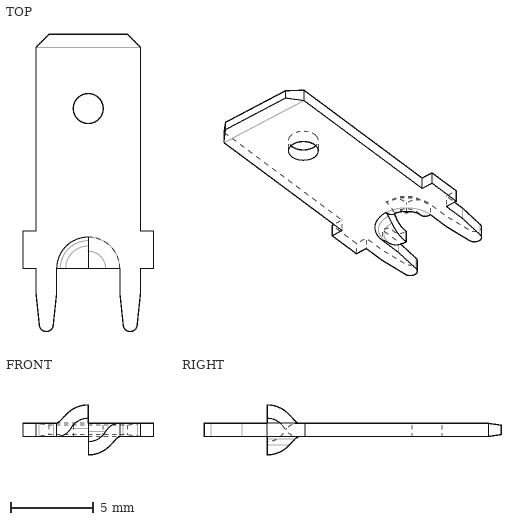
import cadquery as cq
import math

total_length = 18.03
thickness = 0.81
blade_width = 6.35
shoulder_width = 7.92
shoulder_bottom = 3.82
shoulder_top = 6.11

lead_in_length = 0.8
lead_in_end_width = 4.76
lead_in_end_thickness = 0.58

hole_diameter = 1.8
hole_y = 13.52

leg_gap = 3.82
leg_taper_start = 2.3
leg_tip_radius = 0.43

dome_radius = leg_gap / 2
dome_total_height = 3.05
dome_height = dome_total_height / 2
dome_crown_edge = (1.37, 0.9)
dome_flank_end = (1.7, 0.55)
dome_inner_radius = 1.2
quarter_turn = 90
half_turn = 180

half_thickness = thickness / 2
lead_in_start = total_length - lead_in_length
leg_center = (blade_width + leg_gap) / 4


def extrude_through(sketch):
    """Extrude an XY sketch through the full sheet thickness."""
    return sketch.extrude(half_thickness, both=True)


def make_plate():
    """Blade with shoulders, a tapered far end, a hole and a half-round opening for the dome."""
    half_blade = blade_width / 2
    half_shoulder = shoulder_width / 2
    right_side = [
        (half_shoulder, shoulder_bottom),
        (half_shoulder, shoulder_top),
        (half_blade, shoulder_top),
        (half_blade, lead_in_start),
        (lead_in_end_width / 2, total_length),
    ]
    left_side = [(-x, y) for x, y in reversed(right_side)]
    plate = extrude_through(cq.Workplane("XY").polyline(right_side + left_side).close())

    opening = extrude_through(cq.Workplane("XY").center(0, shoulder_bottom).circle(dome_radius))
    hole = extrude_through(cq.Workplane("XY").center(0, hole_y).circle(hole_diameter / 2))

    top_edge = [
        (shoulder_bottom, half_thickness),
        (lead_in_start, half_thickness),
        (total_length, lead_in_end_thickness / 2),
    ]
    bottom_edge = [(y, -z) for y, z in reversed(top_edge)]
    envelope = (
        cq.Workplane("YZ")
        .polyline(top_edge + bottom_edge)
        .close()
        .extrude(half_shoulder, both=True)
    )
    return plate.intersect(envelope).cut(opening).cut(hole)


def make_leg(center_x):
    """Leg with a straight root, tapered sides and a rounded tip."""
    half_root = (blade_width - leg_gap) / 4
    outline = (
        cq.Workplane("XY")
        .moveTo(center_x - half_root, shoulder_bottom)
        .lineTo(center_x - half_root, leg_taper_start)
        .lineTo(center_x - leg_tip_radius, leg_tip_radius)
        .threePointArc((center_x, 0), (center_x + leg_tip_radius, leg_tip_radius))
        .lineTo(center_x + half_root, leg_taper_start)
        .lineTo(center_x + half_root, shoulder_bottom)
        .close()
    )
    return extrude_through(outline)


def make_raised_quarter():
    """Quarter dome on the -X side, of S-shaped section, centred on the Z axis."""
    inner_crown = dome_height - thickness
    inner_rise = inner_crown + half_thickness
    turn = 2 * math.atan2(inner_rise, dome_radius)
    rim_arc_radius = dome_radius / math.sin(turn) - dome_inner_radius

    def crown_point(angle):
        drop = dome_inner_radius * (1 - math.cos(angle))
        return (-dome_inner_radius * math.sin(angle), inner_crown - drop)

    def rim_point(angle):
        rise = rim_arc_radius * (1 - math.cos(angle))
        return (rim_arc_radius * math.sin(angle) - dome_radius, rise - half_thickness)

    edge_r, edge_z = dome_crown_edge
    crown_drop = dome_height - edge_z
    crown_radius = (edge_r**2 + crown_drop**2) / (2 * crown_drop)
    middle_angle = math.asin(edge_r / crown_radius) / 2
    crown_middle = (
        -crown_radius * math.sin(middle_angle),
        dome_height - crown_radius * (1 - math.cos(middle_angle)),
    )
    flank_r, flank_z = dome_flank_end

    return (
        cq.Workplane("XZ")
        .moveTo(0, dome_height)
        .threePointArc(crown_middle, (-edge_r, edge_z))
        .lineTo(-flank_r, flank_z)
        .tangentArcPoint((-dome_radius, half_thickness), relative=False)
        .lineTo(-dome_radius, -half_thickness)
        .threePointArc(rim_point(turn / 2), rim_point(turn))
        .threePointArc(crown_point(turn / 2), (0, inner_crown))
        .close()
        .revolve(quarter_turn, (0, 0), (0, -1))
    )


raised_quarter = make_raised_quarter()
sunken_quarter = raised_quarter.rotate((0, 0, 0), (0, 1, 0), half_turn)

result = make_plate()
for side in (-1, 1):
    result = result.union(make_leg(side * leg_center))
for quarter in (raised_quarter, sunken_quarter):
    result = result.union(quarter.translate((0, shoulder_bottom, 0)))